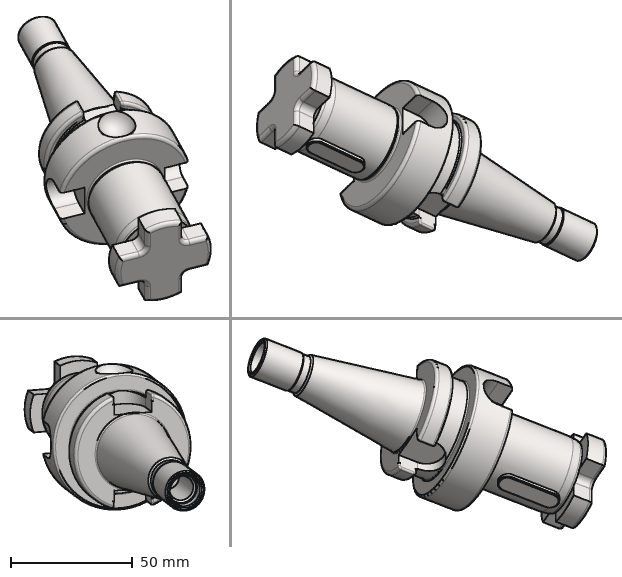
import cadquery as cq

TOTAL_LENGTH = 151.4
TAIL_END = 17.1
TAPER_START = 20.7
FLANGE_FRONT = 69.8
FLANGE_BACK = 78.1
COLLAR_FRONT = 86.8
COLLAR_BACK = 104.3
RELIEF_END = 105.5
SPIGOT_START = 106.5
SPIGOT_LEAD_IN = 137.5
LEAD_IN_END = 141.1
SPIGOT_END = 142.3

TAIL_RADIUS = 8.5
TAIL_NECK_RADIUS = 8.2
TAPER_SMALL_RADIUS = 9.1
TAPER_LARGE_RADIUS = 15.9
FLANGE_RADIUS = 25.3
NECK_RADIUS = 21.7
COLLAR_DIAMETER = 58.0
COLLAR_RADIUS = COLLAR_DIAMETER / 2
RELIEF_RADIUS = 16.2
SPIGOT_RADIUS = 16.7
SPIGOT_TIP_RADIUS = 15.7

TAIL_CHAMFER = 0.6
TAIL_STEP_LENGTH = 0.5
TAPER_CHAMFER_LENGTH = 0.8
CORNER_RADIUS = 0.6
FLANGE_FILLET = 1.4
SLOT_EDGE_FILLET = 0.8
COLLAR_FRONT_FILLET = 0.9
COLLAR_BACK_FILLET = 1.5

HOLE_MOUTH_RADIUS = 7.1
HOLE_MOUTH_DEPTH = 0.6
COUNTERBORE_RADIUS = 6.5
COUNTERBORE_DEPTH = 4.5
THREAD_RADIUS = 6.0
TAPPED_HOLE_RADIUS = 5.1
TAPPED_HOLE_DEPTH = 24.2

GRIPPER_SLOT_WIDTH = 16.0
GRIPPER_SLOT_END = 86.5
GRIPPER_SLOT_FLOOR = 16.0

DRIVE_SLOT_WIDTH = 14.2
DRIVE_SLOT_START = 90.0
DRIVE_SLOT_FLOOR = 17.5

DIMPLE_X = 95.1
DIMPLE_BALL_RADIUS = 8.3
DIMPLE_BALL_HEIGHT = 31.3

KEY_START = 111.9
KEY_LENGTH = 27.5
KEY_WIDTH = 8.0
KEY_HEIGHT = 7.0
KEY_BOTTOM = -18.3
KEY_CHAMFER = 0.5

HEAD_DIAMETER = 42.0
HEAD_RADIUS = HEAD_DIAMETER / 2
HEAD_FILLET = 1.8
LOBE_WIDTH = 16.0
LOBE_ROOT_RADIUS = 3.0


def cylinder(start, end, radius):
    """Cylinder along X between two stations."""
    return cq.Workplane("YZ").workplane(offset=start).circle(radius).extrude(end - start)


def both_sides(cutter):
    """A cutter and its copy turned half a turn about the part axis."""
    return [cutter, cutter.rotate((0, 0, 0), (1, 0, 0), 180)]


def make_turned_core():
    """Tail, taper, neck, collar and spigot as one revolved profile."""
    return (
        cq.Workplane("XY")
        .moveTo(0, 0)
        .lineTo(0, TAIL_RADIUS - TAIL_CHAMFER)
        .lineTo(TAIL_CHAMFER, TAIL_RADIUS)
        .lineTo(TAIL_END, TAIL_RADIUS)
        .lineTo(TAIL_END + TAIL_STEP_LENGTH, TAIL_NECK_RADIUS)
        .lineTo(TAPER_START, TAIL_NECK_RADIUS)
        .lineTo(TAPER_START + TAPER_CHAMFER_LENGTH, TAPER_SMALL_RADIUS)
        .lineTo(FLANGE_FRONT - CORNER_RADIUS, TAPER_LARGE_RADIUS)
        .radiusArc((FLANGE_FRONT, TAPER_LARGE_RADIUS + CORNER_RADIUS), -CORNER_RADIUS)
        .lineTo(FLANGE_FRONT, NECK_RADIUS + CORNER_RADIUS)
        .lineTo(FLANGE_BACK, NECK_RADIUS + CORNER_RADIUS)
        .radiusArc((FLANGE_BACK + CORNER_RADIUS, NECK_RADIUS), -CORNER_RADIUS)
        .lineTo(COLLAR_FRONT - CORNER_RADIUS, NECK_RADIUS)
        .radiusArc((COLLAR_FRONT, NECK_RADIUS + CORNER_RADIUS), -CORNER_RADIUS)
        .lineTo(COLLAR_FRONT, COLLAR_RADIUS - COLLAR_FRONT_FILLET)
        .radiusArc((COLLAR_FRONT + COLLAR_FRONT_FILLET, COLLAR_RADIUS), COLLAR_FRONT_FILLET)
        .lineTo(COLLAR_BACK - COLLAR_BACK_FILLET, COLLAR_RADIUS)
        .radiusArc((COLLAR_BACK, COLLAR_RADIUS - COLLAR_BACK_FILLET), COLLAR_BACK_FILLET)
        .lineTo(COLLAR_BACK, RELIEF_RADIUS + CORNER_RADIUS)
        .radiusArc((COLLAR_BACK + CORNER_RADIUS, RELIEF_RADIUS), -CORNER_RADIUS)
        .lineTo(RELIEF_END, RELIEF_RADIUS)
        .lineTo(SPIGOT_START, SPIGOT_RADIUS)
        .lineTo(SPIGOT_LEAD_IN, SPIGOT_RADIUS)
        .lineTo(LEAD_IN_END, RELIEF_RADIUS)
        .lineTo(SPIGOT_END, SPIGOT_TIP_RADIUS)
        .lineTo(SPIGOT_END, 0)
        .close()
        .revolve(360, (0, 0, 0), (1, 0, 0))
    )


def gripper_slot_cutter():
    """Upper gripper slot: open to the front, round at the back, flat floor."""
    half_width = GRIPPER_SLOT_WIDTH / 2
    straight_end = GRIPPER_SLOT_END - half_width
    return (
        cq.Workplane("XY")
        .workplane(offset=GRIPPER_SLOT_FLOOR)
        .moveTo(FLANGE_FRONT, -half_width)
        .lineTo(straight_end, -half_width)
        .threePointArc((GRIPPER_SLOT_END, 0), (straight_end, half_width))
        .lineTo(FLANGE_FRONT, half_width)
        .close()
        .extrude(FLANGE_RADIUS - GRIPPER_SLOT_FLOOR)
    )


def drive_slot_cutter():
    """Drive slot on the -Y side: round at the front, open to the back."""
    half_width = DRIVE_SLOT_WIDTH / 2
    straight_start = DRIVE_SLOT_START + half_width
    return (
        cq.Workplane("XZ")
        .workplane(offset=DRIVE_SLOT_FLOOR)
        .moveTo(COLLAR_BACK, -half_width)
        .lineTo(straight_start, -half_width)
        .threePointArc((DRIVE_SLOT_START, 0), (straight_start, half_width))
        .lineTo(COLLAR_BACK, half_width)
        .close()
        .extrude(COLLAR_RADIUS - DRIVE_SLOT_FLOOR)
    )


def make_flange():
    """Round-rimmed flange with rounded outer edges along its gripper slots."""
    flange = cylinder(FLANGE_FRONT, FLANGE_BACK, FLANGE_RADIUS).edges().fillet(FLANGE_FILLET)
    for cutter in both_sides(gripper_slot_cutter()):
        flange = flange.cut(cutter)
    return flange.edges("|X and (>Z or <Z)").fillet(SLOT_EDGE_FILLET)


def drawbar_hole_cutter():
    """Stepped hole along X with a tapered mouth."""
    return (
        cq.Workplane("XY")
        .moveTo(0, 0)
        .lineTo(0, HOLE_MOUTH_RADIUS)
        .lineTo(HOLE_MOUTH_DEPTH, COUNTERBORE_RADIUS)
        .lineTo(COUNTERBORE_DEPTH, COUNTERBORE_RADIUS)
        .lineTo(COUNTERBORE_DEPTH, THREAD_RADIUS)
        .lineTo(COUNTERBORE_DEPTH + THREAD_RADIUS - TAPPED_HOLE_RADIUS, TAPPED_HOLE_RADIUS)
        .lineTo(TAPPED_HOLE_DEPTH, TAPPED_HOLE_RADIUS)
        .lineTo(TAPPED_HOLE_DEPTH, 0)
        .close()
        .revolve(360, (0, 0, 0), (1, 0, 0))
    )


def dimple_cutter():
    """Ball that sinks a round dimple into the top of the collar."""
    ball = cq.Workplane("XY").sphere(DIMPLE_BALL_RADIUS)
    return ball.translate((DIMPLE_X, 0, DIMPLE_BALL_HEIGHT))


def key_blank():
    """Round-ended key without its edge chamfer."""
    return (
        cq.Workplane("XY")
        .workplane(offset=KEY_BOTTOM)
        .center(KEY_START + KEY_LENGTH / 2, 0)
        .slot2D(KEY_LENGTH, KEY_WIDTH)
        .extrude(KEY_HEIGHT)
    )


def make_holder():
    """Taper shank, flange, collar and spigot with all their cuts."""
    holder = make_turned_core()
    for cutter in both_sides(gripper_slot_cutter()):
        holder = holder.cut(cutter)
    holder = holder.union(make_flange())
    for cutter in both_sides(drive_slot_cutter()):
        holder = holder.cut(cutter)
    holder = holder.cut(dimple_cutter())
    holder = holder.cut(drawbar_hole_cutter())
    return holder.cut(key_blank())


def make_key():
    """Feather key seated in the underside of the spigot."""
    return key_blank().faces("<Z").edges().chamfer(KEY_CHAMFER)


def make_screw_head():
    """Round head cut to a cross by four corner notches with round roots."""
    head = cylinder(SPIGOT_END, TOTAL_LENGTH, HEAD_RADIUS)
    half_width = LOBE_WIDTH / 2
    notch = (
        cq.Workplane("YZ")
        .workplane(offset=SPIGOT_END)
        .moveTo(half_width, HEAD_RADIUS)
        .lineTo(half_width, half_width + LOBE_ROOT_RADIUS)
        .radiusArc((half_width + LOBE_ROOT_RADIUS, half_width), -LOBE_ROOT_RADIUS)
        .lineTo(HEAD_RADIUS, half_width)
        .lineTo(HEAD_RADIUS, HEAD_RADIUS)
        .close()
        .extrude(TOTAL_LENGTH - SPIGOT_END)
    )
    for quarter_turn in range(4):
        head = head.cut(notch.rotate((0, 0, 0), (1, 0, 0), 90 * quarter_turn))
    return head.faces(">X").edges().fillet(HEAD_FILLET)


holder = make_holder().solids()
key = make_key().solids()
screw_head = make_screw_head().solids()

result = cq.Compound.makeCompound([holder.val(), key.val(), screw_head.val()])